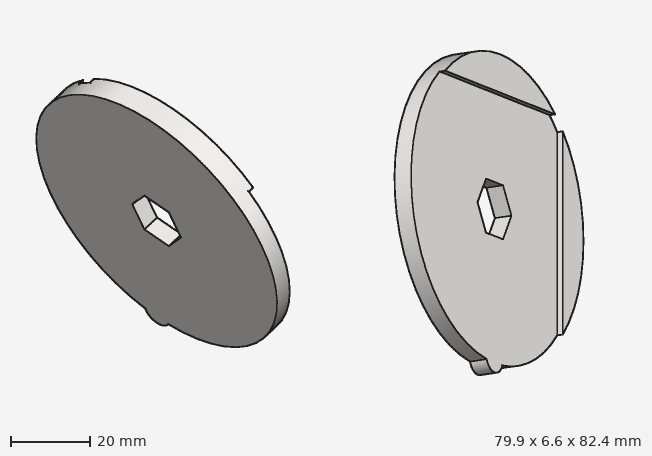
import cadquery as cq
import math

overall_height = 82.4
disc_diameter = 79.9
total_thickness = 6.6
web_thickness = 4.95
hex_across_flats = 14.0
bump_radius = 4.0
pad_chord_offset = 30.0

disc_radius = disc_diameter / 2
pad_height = total_thickness - web_thickness
hex_across_corners = hex_across_flats / math.cos(math.pi / 6)
bump_center_z = disc_radius - overall_height + bump_radius


def cylinder(radius, thickness, center_z=0):
    """Cylinder along Y with its front face at Y = 0, growing toward +Y."""
    plane = cq.Workplane("XZ", origin=(0, 0, center_z))
    return plane.circle(radius).extrude(-thickness)


def back_recess():
    """Square-cornered cutter that leaves segment pads at the top and on the -X side."""
    side = pad_chord_offset + disc_radius
    return cq.Workplane("XY").box(side, pad_height, side, centered=False).translate(
        (-pad_chord_offset, web_thickness, -disc_radius)
    )


disc = cylinder(disc_radius, total_thickness).cut(back_recess())

bump = cylinder(bump_radius, web_thickness, bump_center_z)
body = disc.union(bump)

hex_hole = cq.Workplane("XZ").polygon(6, hex_across_corners).extrude(-web_thickness)
result = body.cut(hex_hole)